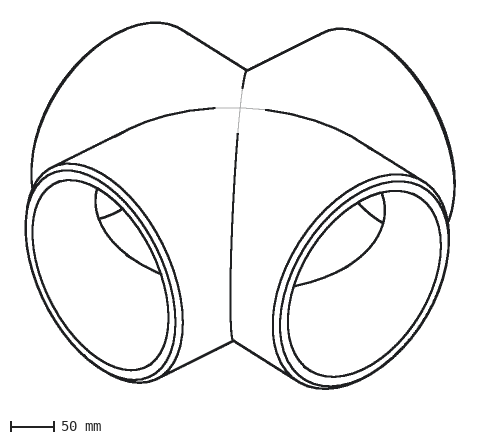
import cadquery as cq

length = 432.0
outer_diameter = 273.0
bore_diameter = 236.7
end_chamfer = 6.0


def cylinder_along(plane, diameter):
    """Full-length cylinder centred on the origin, along the plane normal."""
    return cq.Workplane(plane).circle(diameter / 2).extrude(length / 2, both=True)


def pipe_body(plane, end_faces):
    """Solid pipe run with both outer rims bevelled."""
    return cylinder_along(plane, outer_diameter).faces(end_faces).edges().chamfer(end_chamfer)


body = pipe_body("YZ", "|X").union(pipe_body("XZ", "|Y"))

result = body
for bore_plane in ("YZ", "XZ"):
    result = result.cut(cylinder_along(bore_plane, bore_diameter))